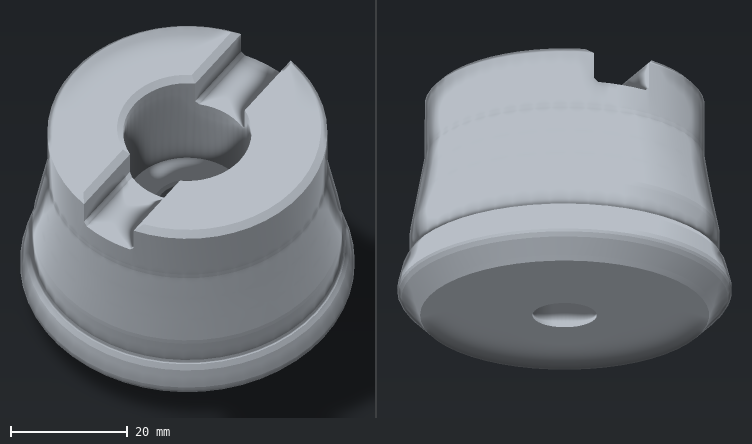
import cadquery as cq

OUTER_RADIUS = 28.65
HEIGHT = 40.0
EDGE_CHAMFER = 1.1

COLLAR_RADIUS = 48.0 / 2
COLLAR_BOTTOM = 29.45
SKIRT_RADIUS = 53.2 / 2
CONE_BOTTOM = 15.15
BLEND_HEIGHT = 0.85
BLEND_OFFSET = 0.05
FOOT_TOP = 10.05
FOOT_FLARE = 0.25

BORE_DIAMETER = 22.0
BORE_DEPTH = 20.65
BORE_CHAMFER = 1.05
HOLE_DIAMETER = 11.0
HOLE_CHAMFER = 0.5

SLOT_WIDTH = 10.4
SLOT_DEPTH = 6.35
SLOT_EDGE_CHAMFER = 1.1
SLOT_FLOOR_CHAMFER = 0.7

RING_TOP = 9.6
RING_TOP_RADIUS = 27.15
SHOULDER_RADIUS = 27.75
SHOULDER_HEIGHT = 8.6
BAND_TOP = 5.15
BAND_BOTTOM = 4.35
LOWER_CORNER_HEIGHT = 3.15
LOWER_CORNER_RADIUS = 28.0
NOSE_HEIGHT = 3.9
NOSE_RADIUS = 28.5
UNDERSIDE_RADIUS = 24.75
HEEL_HEIGHT = 0.75
HEEL_RADIUS = 25.5
SPIGOT_RADIUS = 20.65


def revolve_outline(points):
    """Solid of revolution about Z from (radius, height) points."""
    return cq.Workplane("XZ").polyline(points).close().revolve(360, (0, 0), (0, 1))


def cone(bottom_radius, top_radius, bottom, top):
    """Cone frustum on the Z axis."""
    return revolve_outline([(0, bottom), (bottom_radius, bottom), (top_radius, top), (0, top)])


def slot_cutter():
    """Slot with bevelled floor corners and bevelled top edges."""
    half_width = SLOT_WIDTH / 2
    floor = HEIGHT - SLOT_DEPTH
    floor_half = half_width - SLOT_FLOOR_CHAMFER
    mouth_half = half_width + SLOT_EDGE_CHAMFER
    right_side = [
        (floor_half, floor),
        (half_width, floor + SLOT_FLOOR_CHAMFER),
        (half_width, HEIGHT - SLOT_EDGE_CHAMFER),
        (mouth_half, HEIGHT),
    ]
    left_side = [(-x, z) for x, z in reversed(right_side)]
    outline = cq.Workplane("XZ").polyline(right_side + left_side).close()
    return outline.extrude(OUTER_RADIUS, both=True)


def make_housing():
    """Slotted body with the stepped bore and a spigot below."""
    body = revolve_outline([
        (0, 0),
        (SPIGOT_RADIUS, 0),
        (SPIGOT_RADIUS, RING_TOP),
        (SKIRT_RADIUS + FOOT_FLARE, RING_TOP),
        (SKIRT_RADIUS, FOOT_TOP),
        (SKIRT_RADIUS, CONE_BOTTOM - BLEND_HEIGHT),
        (SKIRT_RADIUS - BLEND_OFFSET, CONE_BOTTOM),
        (COLLAR_RADIUS + BLEND_OFFSET, COLLAR_BOTTOM - BLEND_HEIGHT),
        (COLLAR_RADIUS, COLLAR_BOTTOM),
        (COLLAR_RADIUS, HEIGHT - EDGE_CHAMFER),
        (COLLAR_RADIUS - EDGE_CHAMFER, HEIGHT),
        (0, HEIGHT),
    ])
    bore_radius = BORE_DIAMETER / 2
    hole_radius = HOLE_DIAMETER / 2
    bore_floor = HEIGHT - BORE_DEPTH
    body = body.cut(cone(bore_radius, bore_radius, bore_floor, HEIGHT))
    body = body.cut(cone(bore_radius, bore_radius + BORE_CHAMFER, HEIGHT - BORE_CHAMFER, HEIGHT))
    body = body.cut(cone(hole_radius, hole_radius, 0, bore_floor))
    body = body.cut(cone(hole_radius, hole_radius + HOLE_CHAMFER, bore_floor - HOLE_CHAMFER, bore_floor))
    return body.cut(slot_cutter())


def make_cutting_ring():
    """Flared ring that sits on the spigot, flush with its bottom end."""
    return revolve_outline([
        (SPIGOT_RADIUS, RING_TOP),
        (RING_TOP_RADIUS, RING_TOP),
        (SHOULDER_RADIUS, SHOULDER_HEIGHT),
        (OUTER_RADIUS, BAND_TOP),
        (OUTER_RADIUS, BAND_BOTTOM),
        (NOSE_RADIUS, NOSE_HEIGHT),
        (LOWER_CORNER_RADIUS, LOWER_CORNER_HEIGHT),
        (HEEL_RADIUS, HEEL_HEIGHT),
        (UNDERSIDE_RADIUS, 0),
        (SPIGOT_RADIUS, 0),
    ])


housing = make_housing()
cutting_ring = make_cutting_ring()

result = cq.Compound.makeCompound([housing.val(), cutting_ring.val()])